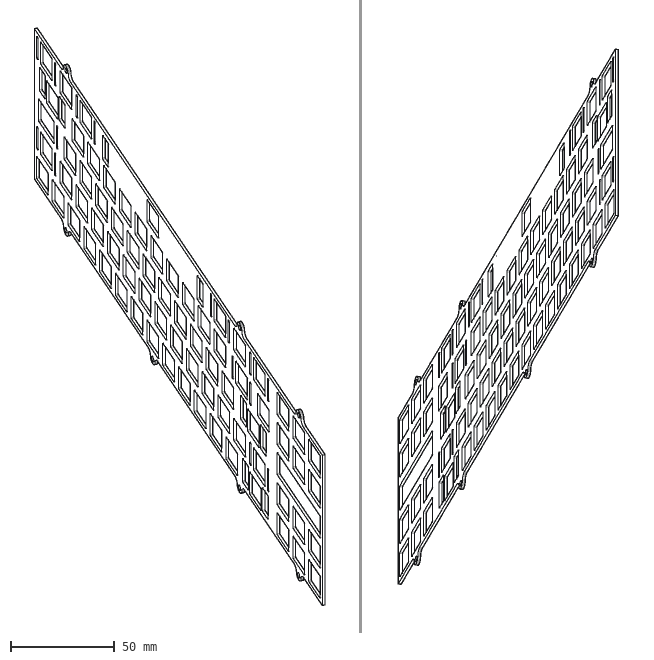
import cadquery as cq

SINGLE = 4
SPACEBAR = 28
RELIEVED_WIDTHS = (6, 7)
STABILIZED_WIDTHS = (8, 9)

ROWS = [
    [6, SINGLE, 6, SPACEBAR, 6, SINGLE, 6],
    [9] + [SINGLE] * 10 + [7, SINGLE],
    [7] + [SINGLE] * 11 + [9],
    [6] + [SINGLE] * 12 + [6],
    [SINGLE] * 13 + [8],
]
MIDDLE_ROW = 2
STEPPED_KEY = ROWS[MIDDLE_ROW][0]
STEP = 1

GAP = 1
CURSOR_COLUMNS = 3
CURSOR_START = sum(ROWS[0]) + GAP

LENGTH = 347.5
THICKNESS = 1.5
QUARTER = LENGTH / (CURSOR_START + CURSOR_COLUMNS * SINGLE)
PITCH = SINGLE * QUARTER
HEIGHT = len(ROWS) * PITCH

SWITCH_MARGIN = 2.55
SWITCH_SIZE = PITCH - 2 * SWITCH_MARGIN
CORNER_RADIUS = 0.5
RELIEF_WIDTH = 1.5
RELIEF_OFFSET = 2.25 * QUARTER
STABILIZER_WIDTH = SWITCH_SIZE / 2
STABILIZER_HEIGHT = 15.0
STABILIZER_SHIFT = 1.5
STABILIZER_OFFSET = 2.5 * QUARTER
SPACEBAR_STABILIZER_OFFSET = 12 * QUARTER

OVERALL_HEIGHT = 107.0
TOP_TABS = (8, 52, 67)
BOTTOM_TABS = (8, 30, 52, 67)
TAB_REACH = (OVERALL_HEIGHT - HEIGHT) / 2
TAB_RADIUS = 2.9
STEM_LENGTH = TAB_REACH - TAB_RADIUS
TAB_FILLET = STEM_LENGTH
SCREW_DIAMETER = 2.7

SIDES = (-1, 1)


def block(x, z, width, height):
    """A block as thick as the plate, centred on (x, z)."""
    return cq.Workplane("XY").box(width, THICKNESS, height).translate((x, 0, z))


def cylinder(x, z, radius):
    """A cylinder along Y, as long as the plate is thick."""
    return cq.Workplane("XZ").center(x, z).circle(radius).extrude(THICKNESS / 2, both=True)


def opening(x, z, width=SWITCH_SIZE, height=SWITCH_SIZE):
    """Cutter for a rectangular opening with rounded corners."""
    return block(x, z, width, height).edges("|Y").fillet(CORNER_RADIUS)


def opening_pair(x, z, offset, width, height=SWITCH_SIZE):
    return [opening(x + side * offset, z, width, height) for side in SIDES]


def stabilizer_pair(x, z, offset):
    return opening_pair(x, z, offset, STABILIZER_WIDTH, STABILIZER_HEIGHT)


def key_openings(x, z, width):
    """Switch opening of one key, with the relief slots or stabilizer openings beside it."""
    cutters = [opening(x, z)]
    if width in RELIEVED_WIDTHS:
        cutters += opening_pair(x, z, RELIEF_OFFSET, RELIEF_WIDTH)
    elif width in STABILIZED_WIDTHS:
        cutters += stabilizer_pair(x, z + STABILIZER_SHIFT, STABILIZER_OFFSET)
    elif width == SPACEBAR:
        cutters += stabilizer_pair(x, z - STABILIZER_SHIFT, SPACEBAR_STABILIZER_OFFSET)
    return cutters


def row_center(row):
    return HEIGHT - (row + 0.5) * PITCH


def main_key_openings():
    cutters = []
    for row, widths in enumerate(ROWS):
        left = 0
        for width in widths:
            cutters += key_openings((left + width / 2) * QUARTER, row_center(row), width)
            left += width
    return cutters


def stepped_key_opening():
    """Widens the first opening of the middle row to the left, taking in its left relief slot."""
    x = (STEPPED_KEY - STEP) / 2 * QUARTER
    return opening(x, row_center(MIDDLE_ROW), SWITCH_SIZE + STEP * QUARTER)


def cursor_openings():
    """Three columns at the right, joined into one long opening in the middle row."""
    first_x = CURSOR_START * QUARTER + PITCH / 2
    span = (CURSOR_COLUMNS - 1) * PITCH
    cutters = [opening(first_x + span / 2, row_center(MIDDLE_ROW), SWITCH_SIZE + span)]
    for row in range(len(ROWS)):
        if row != MIDDLE_ROW:
            for column in range(CURSOR_COLUMNS):
                cutters.append(opening(first_x + column * PITCH, row_center(row)))
    return cutters


def add_tab(plate, x, edge, outward):
    """Adds a round-ended tab with a fillet on each side of its stem and a screw hole."""
    tip = edge + outward * STEM_LENGTH
    tab = block(x, edge + outward * STEM_LENGTH / 2, 2 * TAB_RADIUS, STEM_LENGTH)
    tab = tab.union(cylinder(x, tip, TAB_RADIUS))
    fillet_z = edge + outward * TAB_FILLET
    for side in SIDES:
        fillet_x = x + side * (TAB_RADIUS + TAB_FILLET)
        foot = block(
            fillet_x - side * TAB_FILLET / 2,
            fillet_z - outward * TAB_FILLET / 2,
            TAB_FILLET,
            TAB_FILLET,
        )
        tab = tab.union(foot.cut(cylinder(fillet_x, fillet_z, TAB_FILLET)))
    return plate.union(tab).cut(cylinder(x, tip, SCREW_DIAMETER / 2))


plate = block(LENGTH / 2, HEIGHT / 2, LENGTH, HEIGHT)
for quarters in TOP_TABS:
    plate = add_tab(plate, quarters * QUARTER, HEIGHT, 1)
for quarters in BOTTOM_TABS:
    plate = add_tab(plate, quarters * QUARTER, 0, -1)

openings = main_key_openings() + [stepped_key_opening()] + cursor_openings()
result = cq.Workplane(plate.val().cut(*[cutter.val() for cutter in openings]).Solids()[0])